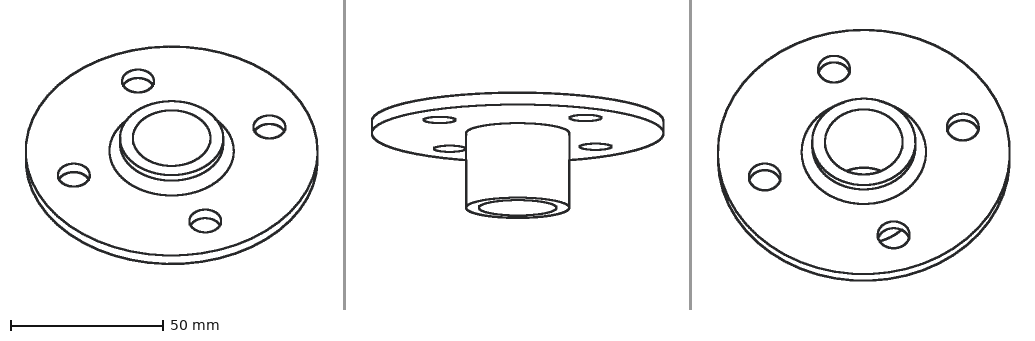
import cadquery as cq

flange_diameter = 96.0
flange_thickness = 4.0

tube_diameter = 34.0
bore_diameter = 25.5
total_height = 35.0
tube_above_flange = 6.0
tube_below_flange = total_height - flange_thickness - tube_above_flange

weld_leg = 3.5

bolt_hole_count = 4
bolt_hole_diameter = 10.5
bolt_circle_diameter = 68.0


def make_flange():
    """Flat disc with its ring of bolt holes."""
    disc = cq.Workplane("XY").circle(flange_diameter / 2).extrude(flange_thickness)
    return (
        disc.faces(">Z")
        .workplane()
        .polarArray(bolt_circle_diameter / 2, 0, 360, bolt_hole_count)
        .hole(bolt_hole_diameter)
    )


def make_tube():
    """Solid tube body, before boring."""
    return (
        cq.Workplane("XY")
        .workplane(offset=-tube_below_flange)
        .circle(tube_diameter / 2)
        .extrude(total_height)
    )


def make_weld():
    """Cone that narrows from the flange face to the tube wall."""
    tube_radius = tube_diameter / 2
    return (
        cq.Workplane("XZ")
        .moveTo(0, flange_thickness)
        .lineTo(tube_radius + weld_leg, flange_thickness)
        .lineTo(tube_radius, flange_thickness + weld_leg)
        .lineTo(0, flange_thickness + weld_leg)
        .close()
        .revolve(360, (0, 0), (0, 1))
    )


body = make_flange().union(make_tube()).union(make_weld())
result = body.faces(">Z").workplane(origin=(0, 0, 0)).hole(bore_diameter)